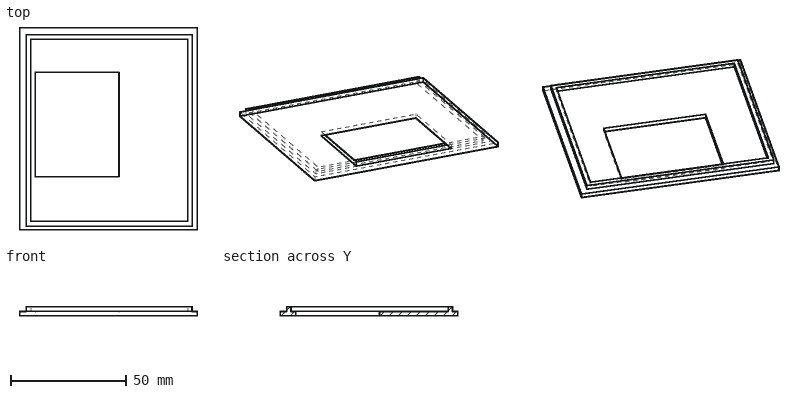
import cadquery as cq

plate_x = 77.04
plate_y = 87.74
plate_thickness = 2.0
plate_left = -plate_x / 2
plate_front = -plate_y / 2

rim_x = 72.0
rim_y = 83.0
rim_height = 2.0
rim_wall = 2.0
rim_left_margin = 2.8
rim_front_margin = 1.7
rim_left = plate_left + rim_left_margin
rim_front = plate_front + rim_front_margin

window_x = 36.2
window_y = 45.25
window_left_gap = 2.0
window_front_gap = 19.4
window_left = rim_left + rim_wall + window_left_gap
window_front = rim_front + rim_wall + window_front_gap


def block(left, front, bottom, size_x, size_y, height):
    """Rectangular block located by its left, front, bottom corner."""
    return cq.Workplane("XY", origin=(left, front, bottom)).box(
        size_x, size_y, height, centered=False
    )


def make_plate():
    """Flat base plate."""
    return block(plate_left, plate_front, 0, plate_x, plate_y, plate_thickness)


def make_rim():
    """Rectangular frame that sits on top of the plate."""
    outside = block(rim_left, rim_front, plate_thickness, rim_x, rim_y, rim_height)
    inside = block(
        rim_left + rim_wall,
        rim_front + rim_wall,
        plate_thickness,
        rim_x - 2 * rim_wall,
        rim_y - 2 * rim_wall,
        rim_height,
    )
    return outside.cut(inside)


def make_window():
    """Block removed from the plate to open the window."""
    return block(window_left, window_front, 0, window_x, window_y, plate_thickness)


result = make_plate().union(make_rim()).cut(make_window())